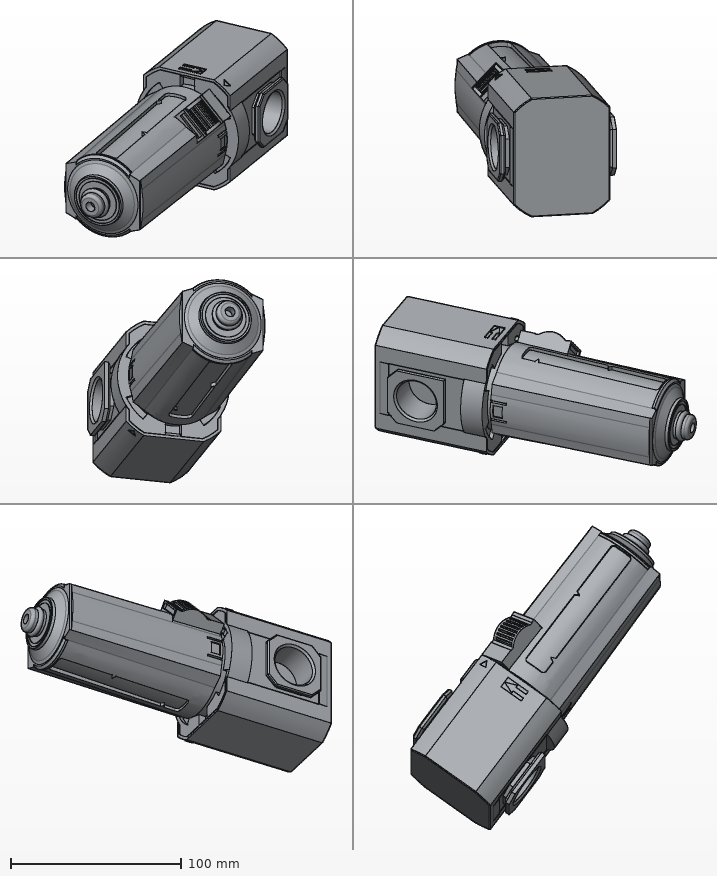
import cadquery as cq
import math


total_length = 190.7
head_length = 71.3
neck_gap = 2.2
guard_length = 101.8
cone_length = 6.4
rear_y = 28.7
head_front_y = rear_y - head_length
guard_start_y = head_front_y - neck_gap
guard_end_y = guard_start_y - guard_length
cone_end_y = guard_end_y - cone_length
tip_y = rear_y - total_length

cut_clearance = 1.0

head_width = 58.0
head_height = 72.0
head_corner_radius = 40.4
rear_chamfer = 0.6
collar_radius = 34.2
collar_length = 14.2
rim_wall = 1.9
rim_height = 0.5
socket_depth = 12.0
keyway_inner_radius = 26.0
keyway_outer_radius = 31.5
keyway_angles = (24, 54)
keyway_depth = 3.0
notch_width = 9.8
notch_depth = 5.0
notch_step_depth = 2.0
notch_step_z = 32.0
arrow_panel_width = 14.7
arrow_panel_length = 7.0
arrow_panel_from_front = 7.0
arrow_shaft_width = 2.8
arrow_head_width = 5.6
arrow_depth = 0.6
marker_angle = 36.0
marker_width = 5.2
marker_length = 4.0
marker_from_front = 4.0
marker_height = 0.4
marker_root = 2.0

overall_width = 70.25
flange_size_y = 36.0
flange_size_z = 35.4
flange_thickness = 3.8
flange_corner = 6.0
flange_back_chamfer = 1.4
flange_face_chamfer = 0.7
spigot_size = 30.0
spigot_corner = 6.4
port_mouth_radius = 14.0
port_radius = 12.7
port_mouth_depth = 1.3
port_depth = 20.0
side_pad_height = 35.0
side_pad_step = 0.4
side_pad_rear_y = 25.2
side_recess_rear_y = 19.9

guard_start_radius = 28.0
guard_end_radius = 25.8
start_shoulder_x = 18.6
end_shoulder_x = 17.8
start_corner = (25.4, 16.5)
end_corner = (24.6, 16.0)
start_side_x = 28.3
end_side_x = 26.2
side_band_half = 10.0
start_band_x = 26.7
end_band_x = 25.4
end_plate = 1.3
cone_start_radius = 21.5
cone_lip_radius = 16.0
cone_end_radius = 15.6
cone_lip_length = 1.8
cone_recess_radius = 14.4
cone_recess_depth = 0.5
bead_radius = 26.2
bead_length = 4.2
bead_rise = 1.5
bead_chamfer_radius = 24.5
bead_chamfer_length = 1.3
shoulder_radius = 23.5
shoulder_length = 0.8
window_width = 14.1
window_start_offset = 10.4
window_length = 87.8
window_corner = 2.0
window_mark_size = 2.6
left_mark_offset = 20.8
right_mark_offset = 61.5
clip_slot_z = 6.1
clip_slot_width = 1.2
clip_slot_length = 9.8
clip_pocket_height = 7.6
clip_pocket_start = 1.6
clip_pocket_length = 6.0
clip_depth = 1.2

bowl_radius = 26.2
bowl_end_radius = 23.2
bowl_floor = 2.5
bowl_end_y = guard_end_y + bowl_floor

drain_flange_radius = 12.4
drain_neck_radius = 8.3
drain_ring_radius = 9.2
drain_ring_offset = 3.2
drain_ring_half = 1.6
drain_groove_radius = 7.4
drain_tip_radius = 7.6
drain_face_radius = 5.6
drain_tip_round_length = 2.2
drain_round_mid_radius = 7.1
drain_round_mid_height = 0.9
drain_hole_radius = 2.95
drain_hole_depth = 6.0

lock_angle = 45.0
button_start_offset = 0.5
button_length = 32.2
button_width = 20.4
button_inner_radius = 24.0
button_top = 33.5
button_hump_top = 36.6
panel_start = 9.2
panel_length = 20.7
panel_depth = 0.3
hump_start = 11.3
hump_length = 17.0
grip_width = 16.0
grip_count = 7
grip_spacing = 2.4
grip_groove_width = 1.1
grip_groove_depth = 1.0
end_pocket_width = 17.0
end_pocket_low = 29.0
end_pocket_high = 32.3
end_pocket_depth = 1.5
tongue_width = 14.0
tongue_low = 27.5
tongue_high = 30.0
tongue_root = 1.0


def section_at(y):
    """Plane across the bowl axis: local x is X, local y is Z, extruding towards -Y."""
    return cq.Workplane("XZ", origin=(0, y, 0))


def box_between(x0, x1, y0, y1, z0, z1):
    """Box spanning the given limits."""
    size = (abs(x1 - x0), abs(y1 - y0), abs(z1 - z0))
    return cq.Workplane("XY").box(*size).translate(((x0 + x1) / 2, (y0 + y1) / 2, (z0 + z1) / 2))


def head_block(inset, y, length):
    """Rectangle with its corners rounded about the bowl axis, inset all round."""
    block = section_at(y).rect(head_width - 2 * inset, head_height - 2 * inset).extrude(length)
    return block.intersect(section_at(y).circle(head_corner_radius - inset).extrude(length))


def clipped_rectangle(size_y, size_z, cut, cut_front_top):
    """Outline in YZ with clipped corners; the front top corner can stay square."""
    y = size_y / 2
    z = size_z / 2
    outline = [(y - cut, -z), (y, cut - z), (y, z - cut), (y - cut, z)]
    if cut_front_top:
        outline += [(cut - y, z), (-y, z - cut)]
    else:
        outline += [(-y, z)]
    return outline + [(-y, cut - z), (cut - y, -z)]


def port_flange(side):
    """Flange and spigot on one side of the head; side is -1 or +1."""
    on_right = side > 0
    face_x = overall_width / 2
    outline = clipped_rectangle(flange_size_y, flange_size_z, flange_corner, on_right)
    plate = cq.Workplane("YZ").polyline(outline).close().extrude(side * flange_thickness)
    back = "<X" if on_right else ">X"
    plate = plate.faces(back).chamfer(flange_back_chamfer)
    if on_right:
        plate = plate.faces(">X").chamfer(flange_face_chamfer)
    plate = plate.translate((side * (face_x - flange_thickness), 0, 0))
    spigot_outline = clipped_rectangle(spigot_size, spigot_size, spigot_corner, True)
    spigot_length = face_x - flange_thickness / 2
    spigot = cq.Workplane("YZ").polyline(spigot_outline).close().extrude(side * spigot_length)
    return plate.union(spigot)


def port_bore(side):
    """Blind port with a conical mouth."""
    face_x = overall_width / 2
    profile = [
        (0, face_x),
        (port_mouth_radius, face_x),
        (port_radius, face_x - port_mouth_depth),
        (port_radius, face_x - port_depth),
        (0, face_x - port_depth),
    ]
    bore = cq.Workplane("XY").polyline(profile).close().revolve(360, (0, 0), (0, 1))
    return bore.rotate((0, 0, 0), (0, 0, 1), -side * 90)


def side_pad(side):
    """Strip behind the port flange that ramps up from the side face."""
    x = side * head_width / 2
    ramp = [
        (0, side_pad_rear_y),
        (x, side_pad_rear_y),
        (x + side * side_pad_step, side_recess_rear_y),
        (0, side_recess_rear_y),
    ]
    return cq.Workplane("XY").polyline(ramp).close().extrude(side_pad_height / 2, both=True)


def side_recess(side):
    """Shallow recess around the port, reaching forward to the collar."""
    x = side * head_width / 2
    z = side_pad_height / 2
    collar_rear_y = head_front_y + collar_length
    floor_x = x - side * side_pad_step
    beyond = x + side * cut_clearance
    return box_between(floor_x, beyond, collar_rear_y, side_recess_rear_y, -z, z)


def rim_recess():
    """Floor set back inside the front rim; the collar end lies on the same floor."""
    floor_y = head_front_y + rim_height
    floor = head_block(rim_wall, floor_y, rim_height)
    return floor.union(section_at(floor_y).circle(collar_radius).extrude(rim_height))


def keyways():
    """Four diagonal arc-shaped keyways around the bowl socket."""
    a0, a1 = (math.radians(a) for a in keyway_angles)
    middle = (a0 + a1) / 2

    def polar(radius, angle):
        return (radius * math.cos(angle), radius * math.sin(angle))

    key = (
        section_at(head_front_y + keyway_depth)
        .moveTo(*polar(keyway_inner_radius, a0))
        .lineTo(*polar(keyway_outer_radius, a0))
        .threePointArc(polar(keyway_outer_radius, middle), polar(keyway_outer_radius, a1))
        .lineTo(*polar(keyway_inner_radius, a1))
        .threePointArc(polar(keyway_inner_radius, middle), polar(keyway_inner_radius, a0))
        .close()
        .extrude(keyway_depth)
    )
    upper = key.union(key.mirror("YZ"))
    return upper.union(upper.mirror("XY"))


def notches():
    """Stepped notches above and below the bowl socket."""
    x = notch_width / 2
    rim_z = head_height / 2 - rim_wall
    deep = box_between(-x, x, head_front_y, head_front_y + notch_depth, 0, notch_step_z)
    shallow = box_between(-x, x, head_front_y, head_front_y + notch_step_depth, 0, rim_z)
    top = deep.union(shallow)
    return top.union(top.mirror("XY"))


def arrow_panel():
    """Flow-arrow panel sunk in the top face, leaving a raised arrow."""
    top_z = head_height / 2
    half = arrow_panel_width / 2
    shaft = arrow_shaft_width / 2
    barb = arrow_head_width / 2
    center = (0, head_front_y + arrow_panel_from_front, top_z - arrow_depth)
    plane = cq.Workplane("XY", origin=center)
    arrow_outline = [
        (-half, -shaft), (0, -shaft), (0, -barb), (half, 0), (0, barb), (0, shaft), (-half, shaft),
    ]
    panel = plane.rect(arrow_panel_width, arrow_panel_length).extrude(arrow_depth)
    return panel.cut(plane.polyline(arrow_outline).close().extrude(arrow_depth))


def corner_markers():
    """Raised triangles on two opposite rounded corners, pointing to the bowl."""
    y = head_front_y + marker_from_front
    half = marker_width / 2
    outline = [(-half, y + marker_length / 2), (half, y + marker_length / 2), (0, y - marker_length / 2)]
    top = head_corner_radius + marker_height
    marker = cq.Workplane("XY", origin=(0, 0, top)).polyline(outline).close().extrude(-marker_root)
    upper = marker.rotate((0, 0, 0), (0, 1, 0), marker_angle)
    return upper.union(upper.rotate((0, 0, 0), (0, 1, 0), 180))


def make_head():
    head = head_block(0, rear_y, head_length).faces(">Y").chamfer(rear_chamfer)
    head = head.union(section_at(head_front_y + collar_length).circle(collar_radius).extrude(collar_length))
    for side in (-1, 1):
        head = head.cut(side_recess(side)).union(side_pad(side)).union(port_flange(side))
    for side in (-1, 1):
        head = head.cut(port_bore(side))
    head = head.union(corner_markers()).cut(rim_recess()).cut(keyways()).cut(notches())
    socket = section_at(head_front_y + socket_depth).circle(bowl_radius).extrude(socket_depth)
    return head.cut(socket).cut(arrow_panel())


def make_bowl():
    profile = [
        (0, head_front_y + socket_depth),
        (bowl_radius, head_front_y + socket_depth),
        (bowl_radius, guard_start_y),
        (bowl_end_radius, bowl_end_y),
        (0, bowl_end_y),
    ]
    return cq.Workplane("XY").polyline(profile).close().revolve(360, (0, 0), (0, 1))


def guard_outline(work, radius, shoulder_x, corner, band_x, side_x):
    """Closed outline: round top and bottom, slanted facets and a bulged band on each side."""
    shoulder_z = math.sqrt(radius**2 - shoulder_x**2)
    corner_x, corner_z = corner
    return (
        work.moveTo(-shoulder_x, shoulder_z)
        .threePointArc((0, radius), (shoulder_x, shoulder_z))
        .lineTo(corner_x, corner_z)
        .lineTo(band_x, side_band_half)
        .threePointArc((side_x, 0), (band_x, -side_band_half))
        .lineTo(corner_x, -corner_z)
        .lineTo(shoulder_x, -shoulder_z)
        .threePointArc((0, -radius), (-shoulder_x, -shoulder_z))
        .lineTo(-corner_x, -corner_z)
        .lineTo(-band_x, -side_band_half)
        .threePointArc((-side_x, 0), (-band_x, side_band_half))
        .lineTo(-corner_x, corner_z)
        .close()
    )


def guard_shell():
    """Tapered shell; its bulged side bands stop short of the end plate."""
    start = guard_outline(
        section_at(guard_start_y),
        guard_start_radius, start_shoulder_x, start_corner, start_band_x, start_side_x,
    )
    shell = guard_outline(
        start.workplane(offset=guard_length),
        guard_end_radius, end_shoulder_x, end_corner, end_band_x, end_side_x,
    ).loft(ruled=True)
    flat_x = end_corner[0]
    plate_y = guard_end_y + end_plate
    for side in (-1, 1):
        beyond = side * (start_side_x + cut_clearance)
        shell = shell.cut(
            box_between(side * flat_x, beyond, guard_end_y, plate_y, -head_height / 2, head_height / 2)
        )
    return shell


def guard_cone():
    """Conical bottom with a low shoulder and a dished end."""
    recess_y = cone_end_y + cone_recess_depth
    profile = [
        (0, guard_end_y),
        (shoulder_radius, guard_end_y),
        (cone_start_radius, guard_end_y - shoulder_length),
        (cone_lip_radius, cone_end_y + cone_lip_length),
        (cone_end_radius, cone_end_y),
        (cone_recess_radius, cone_end_y),
        (cone_recess_radius, recess_y),
        (0, recess_y),
    ]
    return cq.Workplane("XY").polyline(profile).close().revolve(360, (0, 0), (0, 1))


def between_shoulders(profile):
    """Revolve a profile about the bowl axis, kept only across the rounded top and bottom."""
    ring = cq.Workplane("XY").polyline(profile).close().revolve(360, (0, 0), (0, 1))
    x = end_shoulder_x
    z = head_height / 2
    return ring.intersect(box_between(-x, x, guard_start_y, cone_end_y, -z, z))


def end_bead():
    """Low bead around the guard's end."""
    bead_y = guard_end_y + bead_length
    return between_shoulders([
        (bowl_end_radius, guard_end_y),
        (bead_radius, guard_end_y),
        (bead_radius, bead_y - bead_rise),
        (bowl_end_radius, bead_y),
    ])


def end_chamfer():
    """Material removed to chamfer the bead's outer edge."""
    return between_shoulders([
        (bead_chamfer_radius, guard_end_y),
        (bead_radius, guard_end_y),
        (bead_radius, guard_end_y + bead_chamfer_length),
    ])


def window():
    """Long sight window with two pointed level marks left standing at its edges."""
    center_y = guard_start_y - window_start_offset - window_length / 2
    half = window_width / 2
    opening = (
        cq.Workplane("XY")
        .center(0, center_y)
        .rect(window_width, window_length)
        .extrude(head_height / 2)
        .edges("|Z")
        .fillet(window_corner)
    )
    for side, offset in ((-1, left_mark_offset), (1, right_mark_offset)):
        y = guard_start_y - offset
        mark = [
            (side * half, y + window_mark_size / 2),
            (side * (half - window_mark_size), y),
            (side * half, y - window_mark_size / 2),
        ]
        opening = opening.cut(cq.Workplane("XY").polyline(mark).close().extrude(head_height / 2))
    return opening


def side_clip(side):
    """Two slots and a shallow pocket that form a snap tab at the guard's start."""
    outer = side * (start_side_x + cut_clearance)
    inner = side * (start_side_x - clip_depth)
    slot_inner = inner - side * clip_depth
    slot_end_y = guard_start_y - clip_slot_length
    pocket_y = guard_start_y - clip_pocket_start
    half = clip_pocket_height / 2
    clip = box_between(inner, outer, pocket_y - clip_pocket_length, pocket_y, -half, half)
    for z in (-clip_slot_z, clip_slot_z):
        low = z - clip_slot_width / 2
        clip = clip.union(
            box_between(slot_inner, outer, slot_end_y, guard_start_y, low, low + clip_slot_width)
        )
    return clip


def make_guard(bowl, button):
    guard = guard_shell().union(end_bead()).cut(end_chamfer()).union(guard_cone())
    opening = window()
    guard = guard.cut(opening).cut(opening.mirror("XY"))
    for side in (-1, 1):
        guard = guard.cut(side_clip(side))
    drain_hole = section_at(bowl_end_y).circle(drain_flange_radius).extrude(bowl_end_y - cone_end_y)
    return guard.cut(drain_hole).cut(bowl).cut(button)


def make_button(bowl):
    """Built pointing along +Z, then leaned over to its place on the guard."""
    start_y = guard_start_y - button_start_offset
    end_y = start_y - button_length
    hump_start_y = start_y - hump_start
    hump_end_y = hump_start_y - hump_length
    hump_mid_y = (hump_start_y + hump_end_y) / 2
    panel_start_y = start_y - panel_start
    panel_end_y = panel_start_y - panel_length
    panel_z = button_top - panel_depth
    half = button_width / 2
    button = (
        cq.Workplane("YZ", origin=(-half, 0, 0))
        .moveTo(start_y, button_inner_radius)
        .lineTo(start_y, button_top)
        .lineTo(panel_start_y, button_top)
        .lineTo(panel_start_y, panel_z)
        .lineTo(hump_start_y, panel_z)
        .threePointArc((hump_mid_y, button_hump_top), (hump_end_y, panel_z))
        .lineTo(panel_end_y, panel_z)
        .lineTo(panel_end_y, button_top)
        .lineTo(end_y, button_top)
        .lineTo(end_y, button_inner_radius)
        .close()
        .extrude(button_width)
    )
    grip_half = grip_width / 2
    hump_height = button_hump_top - panel_z
    hump_radius = ((hump_length / 2) ** 2 + hump_height**2) / (2 * hump_height)
    for i in range(grip_count):
        y = hump_mid_y + (i - (grip_count - 1) / 2) * grip_spacing
        surface_z = button_hump_top - hump_radius + math.sqrt(hump_radius**2 - (y - hump_mid_y) ** 2)
        low_y = y - grip_groove_width / 2
        button = button.cut(
            box_between(
                -grip_half, grip_half, low_y, low_y + grip_groove_width,
                surface_z - grip_groove_depth, button_hump_top + cut_clearance,
            )
        )
    pocket_half = end_pocket_width / 2
    pocket_y = end_y + end_pocket_depth
    button = button.cut(
        box_between(-pocket_half, pocket_half, end_y, pocket_y, end_pocket_low, end_pocket_high)
    )
    tongue_half = tongue_width / 2
    tongue = box_between(
        -tongue_half, tongue_half, start_y - tongue_root, head_front_y + rim_height, tongue_low, tongue_high
    )
    button = button.union(tongue)
    return button.rotate((0, 0, 0), (0, 1, 0), lock_angle).cut(bowl)


def make_drain():
    ring_y = cone_end_y - drain_ring_offset
    ring_rear_y = ring_y + drain_ring_half
    ring_front_y = ring_y - drain_ring_half
    round_start_y = tip_y + drain_tip_round_length
    round_mid = (drain_round_mid_radius, tip_y + drain_round_mid_height)
    drain = (
        cq.Workplane("XY")
        .moveTo(0, bowl_end_y)
        .lineTo(drain_flange_radius, bowl_end_y)
        .lineTo(drain_flange_radius, cone_end_y)
        .lineTo(drain_neck_radius, cone_end_y)
        .lineTo(drain_neck_radius, ring_rear_y)
        .threePointArc((drain_ring_radius, ring_y), (drain_groove_radius, ring_front_y))
        .lineTo(drain_tip_radius, round_start_y)
        .threePointArc(round_mid, (drain_face_radius, tip_y))
        .lineTo(0, tip_y)
        .close()
        .revolve(360, (0, 0), (0, 1))
    )
    hole = section_at(tip_y + drain_hole_depth).circle(drain_hole_radius).extrude(drain_hole_depth)
    return drain.cut(hole)


head = make_head()
bowl = make_bowl()
button = make_button(bowl)
guard = make_guard(bowl, button)
drain = make_drain()

result = cq.Compound.makeCompound([head.val(), guard.val(), bowl.val(), button.val(), drain.val()])